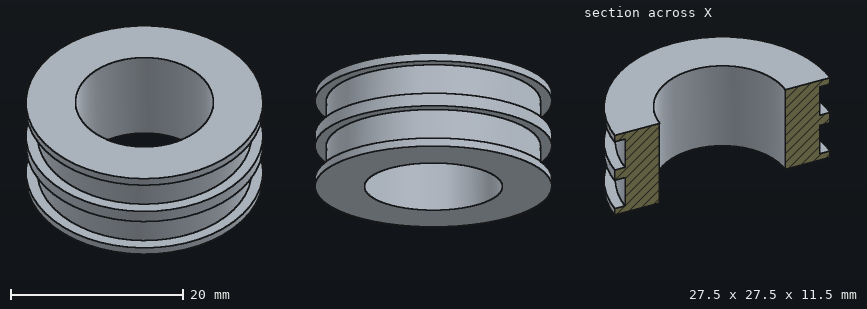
import cadquery as cq

outer_diameter = 27.5
groove_diameter = 24.9
bore_diameter = 16.0
total_height = 11.5
end_flange_height = 1.0
groove_height = 4.0
middle_rib_height = total_height - 2 * (end_flange_height + groove_height)


def ring(diameter, height, bottom):
    """Bored disc about the Z axis, with its lower face at the given height."""
    return (
        cq.Workplane("XY")
        .workplane(offset=bottom)
        .circle(diameter / 2)
        .circle(bore_diameter / 2)
        .extrude(height)
    )


bottom_face = -total_height / 2
result = ring(groove_diameter, total_height, bottom_face)

collars = [
    (bottom_face, end_flange_height),
    (-middle_rib_height / 2, middle_rib_height),
    (total_height / 2 - end_flange_height, end_flange_height),
]
for collar_bottom, collar_height in collars:
    result = result.union(ring(outer_diameter, collar_height, collar_bottom))